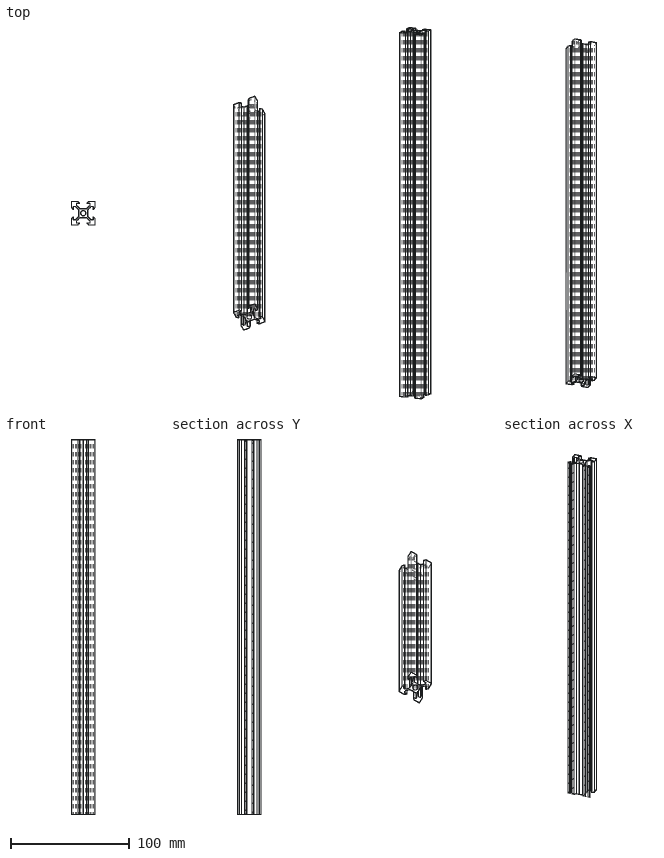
import cadquery as cq
import math

WIDTH = 20.0
LENGTH = 315.0
CORNER_RADIUS = 0.5

SLOT_COUNT = 4
MOUTH_WIDTH = 6.4
MOUTH_CHAMFER = 1.4
LIP_THICKNESS = 1.8
POCKET_WIDTH = 11.0

CORE_WIDTH = 7.8
WEB_THICKNESS = 1.5
BORE_DIAMETER = 4.2

GROOVE_WIDTH = 0.5
GROOVE_DEPTH = 0.25


def slot_outline():
    """Closed section of the +Y slot, from the groove bottom around both sides."""
    side = WIDTH / 2
    floor = CORE_WIDTH / 2
    half_groove = GROOVE_WIDTH / 2
    half_mouth = MOUTH_WIDTH / 2
    half_pocket = POCKET_WIDTH / 2
    lip_underside = side - LIP_THICKNESS
    web_offset = WEB_THICKNESS / math.sqrt(2)

    groove_bottom = (0, floor - GROOVE_DEPTH)
    right_half = [
        (half_groove, floor),
        (floor - web_offset, floor),
        (half_pocket, half_pocket + web_offset),
        (half_pocket, lip_underside),
        (half_mouth, lip_underside),
        (half_mouth, side - MOUTH_CHAMFER),
        (half_mouth + MOUTH_CHAMFER, side),
    ]
    left_half = [(-x, y) for x, y in reversed(right_half)]
    return [groove_bottom] + right_half + left_half


def make_bar():
    """Solid square bar with rounded long edges."""
    bar = cq.Workplane("XY").rect(WIDTH, WIDTH).extrude(LENGTH)
    return bar.edges("|Z").fillet(CORNER_RADIUS)


def make_slot():
    """Cutting body for the full-length slot on the +Y side."""
    return cq.Workplane("XY").polyline(slot_outline()).close().extrude(LENGTH)


def make_bore():
    """Cutting body for the round bore through the core."""
    return cq.Workplane("XY").circle(BORE_DIAMETER / 2).extrude(LENGTH)


def make_extrusion():
    """Bar with the four slots and the central bore cut away."""
    extrusion = make_bar().cut(make_bore())
    slot = make_slot()
    for index in range(SLOT_COUNT):
        angle = index * 360 / SLOT_COUNT
        extrusion = extrusion.cut(slot.rotate((0, 0, 0), (0, 0, 1), angle))
    return extrusion


result = make_extrusion()